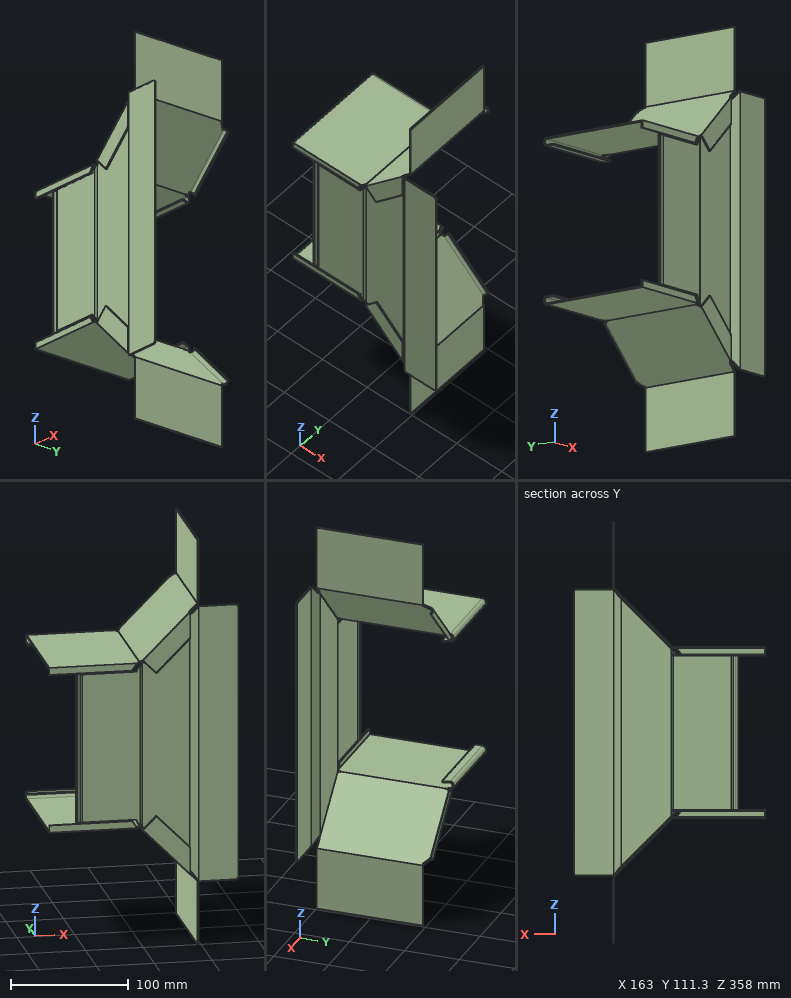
import cadquery as cq
import math

SHEET = 1.25
EPS = 3.5

PLATE_LENGTH = 78.8
PLATE_TOP = 73.0
RAMP_RUN = 49.8
RAMP_ANGLE = 45.0
FLAP_TIP = 179.0
FLAP_FRONT = 2.0
FLAP_BACK = 98.5
BRACKET_BACK = 107.0
HEM_HEIGHT = 7.5
HEM_LEAF = 6.5
HEM_RADIUS = HEM_HEIGHT / 2
HEM_TANGENT = BRACKET_BACK - HEM_RADIUS
LIP_DEPTH = 6.5
LIP_END_TOP = 2.5
LIP_END_BOTTOM = 6.8
STRIP_WIDTH = 17.0
STRIP_START = 3.05
NOTCH_DEPTH = 4.0
NOTCH_PLATE_SIDE = 1.8
NOTCH_RAMP_SIDE = 3.5
RELIEF_HALF_WIDTH = 2.5
RELIEF_DEPTH = 4.3
RAMP_HEM_START = 1.8
RAMP_HEM_END = 46.0
RAMP_HEM_SWEEP = 135.0

WEB_HALF_HEIGHT = 65.5
WEB_LEFT = -56.0
WEB_PANEL_LEFT = -50.0
STEP_RUN = 1.8
WEB_BEND_START = 43.5
FLANGE_FRONT = -4.3
FLANGE_RIGHT = 84.2
FLANGE_CORNER = 1.5
SHOULDER_X = -1.8
SHOULDER_HALF_HEIGHT = 69.5
RAMP_GAP = 1.0


def offset_path(path, distance):
    """Path moved sideways to its right by a distance, with mitred corners."""
    angles = [math.atan2(q[1] - p[1], q[0] - p[0]) for p, q in zip(path, path[1:])]
    moved = []
    for i, (u, v) in enumerate(path):
        before = angles[max(i - 1, 0)]
        after = angles[min(i, len(angles) - 1)]
        middle = (before + after) / 2
        reach = distance / math.cos((after - before) / 2)
        moved.append((u + reach * math.sin(middle), v - reach * math.cos(middle)))
    return moved


def sheet_outline(path, thickness):
    """Closed outline of a bent sheet; the thickness lies to the right of the path."""
    return path + offset_path(path, thickness)[::-1]


def prism_xz(points, y_front, y_back):
    """Prism with an XZ outline between two Y positions."""
    plane = cq.Workplane("XZ", origin=(0, y_front, 0))
    return plane.polyline(points).close().extrude(y_front - y_back)


def prism_xy(points, z_bottom, z_top):
    """Prism with an XY outline between two Z positions."""
    plane = cq.Workplane("XY", origin=(0, 0, z_bottom))
    return plane.polyline(points).close().extrude(z_top - z_bottom)


def hem_bend(length, sweep):
    """Bend along the level plate's back edge, turning down through a sweep in degrees."""
    axis_z = PLATE_TOP - HEM_RADIUS

    def on_bend(radius, angle):
        turn = math.radians(angle)
        return (HEM_TANGENT + radius * math.sin(turn), axis_z + radius * math.cos(turn))

    inner_radius = HEM_RADIUS - SHEET
    return (
        cq.Workplane("YZ")
        .moveTo(*on_bend(HEM_RADIUS, 0))
        .threePointArc(on_bend(HEM_RADIUS, sweep / 2), on_bend(HEM_RADIUS, sweep))
        .lineTo(*on_bend(inner_radius, sweep))
        .threePointArc(on_bend(inner_radius, sweep / 2), on_bend(inner_radius, 0))
        .close()
        .extrude(length)
    )


def plate_hem():
    """U-shaped hem under the level plate: a half-round bend and a flat leaf."""
    start = (-PLATE_LENGTH, HEM_TANGENT - HEM_LEAF, PLATE_TOP - HEM_HEIGHT)
    leaf = cq.Workplane("XY").box(PLATE_LENGTH, HEM_LEAF, SHEET, centered=False).translate(start)
    return hem_bend(PLATE_LENGTH, 180).translate((-PLATE_LENGTH, 0, 0)).union(leaf)


def ramp_hem():
    """Curled hem along the ramp's back edge."""
    fold_start = (0, 0, PLATE_TOP)
    fold_end = (0, 1, PLATE_TOP)
    start = RAMP_HEM_START * math.sqrt(2)
    length = (RAMP_HEM_END - RAMP_HEM_START) * math.sqrt(2)
    level = hem_bend(length, RAMP_HEM_SWEEP).translate((start, 0, 0))
    return level.rotate(fold_start, fold_end, -RAMP_ANGLE)


def bracket_sheet():
    """Level plate, ramp and flap as one folded sheet, trimmed where it narrows to the flap."""
    ramp_top = PLATE_TOP + RAMP_RUN
    path = [(-PLATE_LENGTH, PLATE_TOP), (0, PLATE_TOP), (RAMP_RUN, ramp_top), (RAMP_RUN, FLAP_TIP)]
    sheet = prism_xz(sheet_outline(path, SHEET), 0, HEM_TANGENT)
    flap_right = RAMP_RUN + SHEET + EPS
    front_trim = [
        (WEB_BEND_START - FLAP_FRONT, 0),
        (WEB_BEND_START, FLAP_FRONT),
        (flap_right, FLAP_FRONT),
        (flap_right, -EPS),
        (WEB_BEND_START - FLAP_FRONT, -EPS),
    ]
    back_trim = [
        (RAMP_HEM_END, HEM_TANGENT + EPS),
        (RAMP_HEM_END, HEM_TANGENT),
        (RAMP_RUN, FLAP_BACK),
        (flap_right, FLAP_BACK),
        (flap_right, HEM_TANGENT + EPS),
    ]
    for trim in (front_trim, back_trim):
        sheet = sheet.cut(prism_xy(trim, 0, FLAP_TIP + EPS))
    return sheet


def front_lip():
    """Lip bent down along the level plate's front edge."""
    lip_bottom = PLATE_TOP - LIP_DEPTH
    outline = [
        (-PLATE_LENGTH, PLATE_TOP),
        (-LIP_END_TOP, PLATE_TOP),
        (-LIP_END_BOTTOM, lip_bottom),
        (-PLATE_LENGTH, lip_bottom),
    ]
    return prism_xz(outline, 0, SHEET)


def front_strip():
    """Strip bent inwards along the ramp's front edge, square at the fold and upright at the web bend."""
    start = STRIP_START * math.sqrt(0.5)
    reach = STRIP_WIDTH * math.sqrt(0.5)
    inner_corner_x = start + reach
    inner_corner_z = PLATE_TOP + start - reach
    outline = [
        (start, PLATE_TOP + start),
        (WEB_BEND_START, PLATE_TOP + WEB_BEND_START),
        (WEB_BEND_START, inner_corner_z + WEB_BEND_START - inner_corner_x),
        (inner_corner_x, inner_corner_z),
    ]
    return prism_xz(outline, 0, SHEET)


def fold_reliefs():
    """Notches cut into both ends of the fold between level plate and ramp."""
    back = [
        (0, HEM_TANGENT - NOTCH_DEPTH),
        (NOTCH_RAMP_SIDE, BRACKET_BACK + EPS),
        (-NOTCH_PLATE_SIDE, BRACKET_BACK + EPS),
        (-NOTCH_PLATE_SIDE, HEM_TANGENT),
    ]
    front = [(-RELIEF_HALF_WIDTH, 0), (0, RELIEF_DEPTH), (RELIEF_HALF_WIDTH, 0)]
    z_top = PLATE_TOP + RAMP_RUN
    return prism_xy(back, 0, z_top).union(prism_xy(front, 0, z_top))


def upper_bracket():
    """Folded sheet with its front lip, front strip and back hems."""
    body = bracket_sheet().union(front_lip()).union(front_strip())
    return body.union(plate_hem()).union(ramp_hem()).cut(fold_reliefs())


def web_curl():
    """Quarter-round curl along the web's left edge, turned towards the front."""
    outer = 2 * SHEET
    center_x = WEB_LEFT + outer
    diagonal = math.sqrt(0.5)
    return (
        cq.Workplane("XY", origin=(0, 0, -WEB_HALF_HEIGHT))
        .moveTo(WEB_LEFT, 0)
        .threePointArc((center_x - outer * diagonal, outer * diagonal), (center_x, outer))
        .lineTo(center_x, SHEET)
        .threePointArc((center_x - SHEET * diagonal, SHEET * diagonal), (center_x - SHEET, 0))
        .close()
        .extrude(2 * WEB_HALF_HEIGHT)
    )


def web_face():
    """Front silhouette of the web: narrow panel, sloping sides, then the front flange."""
    edge_drop = SHEET * math.sqrt(2) + RAMP_GAP
    ramp_inside = PLATE_TOP - edge_drop
    bend_clear = WEB_BEND_START + SHEET + RAMP_GAP
    top = PLATE_TOP + RAMP_RUN - RAMP_GAP
    upper = [
        (WEB_LEFT, WEB_HALF_HEIGHT),
        (SHOULDER_X - STEP_RUN, WEB_HALF_HEIGHT),
        (SHOULDER_X, SHOULDER_HALF_HEIGHT),
        (SHOULDER_HALF_HEIGHT - ramp_inside, SHOULDER_HALF_HEIGHT),
        (bend_clear, ramp_inside + bend_clear),
        (RAMP_RUN, top),
        (FLANGE_RIGHT - FLANGE_CORNER, top),
        (FLANGE_RIGHT, top - FLANGE_CORNER),
    ]
    lower = [(x, -z) for x, z in reversed(upper)]
    return prism_xz(upper + lower, FLANGE_FRONT, 2 * SHEET)


def web():
    """Web plate: curled left edge, stepped panel and offset front flange."""
    front_path = [
        (WEB_LEFT + 2 * SHEET, SHEET),
        (WEB_PANEL_LEFT - STEP_RUN, SHEET),
        (WEB_PANEL_LEFT, 0),
        (0, 0),
        (STEP_RUN, SHEET),
        (WEB_BEND_START, SHEET),
        (RAMP_RUN, FLANGE_FRONT),
        (FLANGE_RIGHT, FLANGE_FRONT),
    ]
    outline = sheet_outline(front_path, -SHEET)
    z_reach = PLATE_TOP + RAMP_RUN
    return prism_xy(outline, -z_reach, z_reach).intersect(web_face()).union(web_curl())


web_plate = web()
brackets = [upper_bracket(), upper_bracket().mirror("XY")]

result = cq.Compound.makeCompound([web_plate.val(), *[bracket.val() for bracket in brackets]])